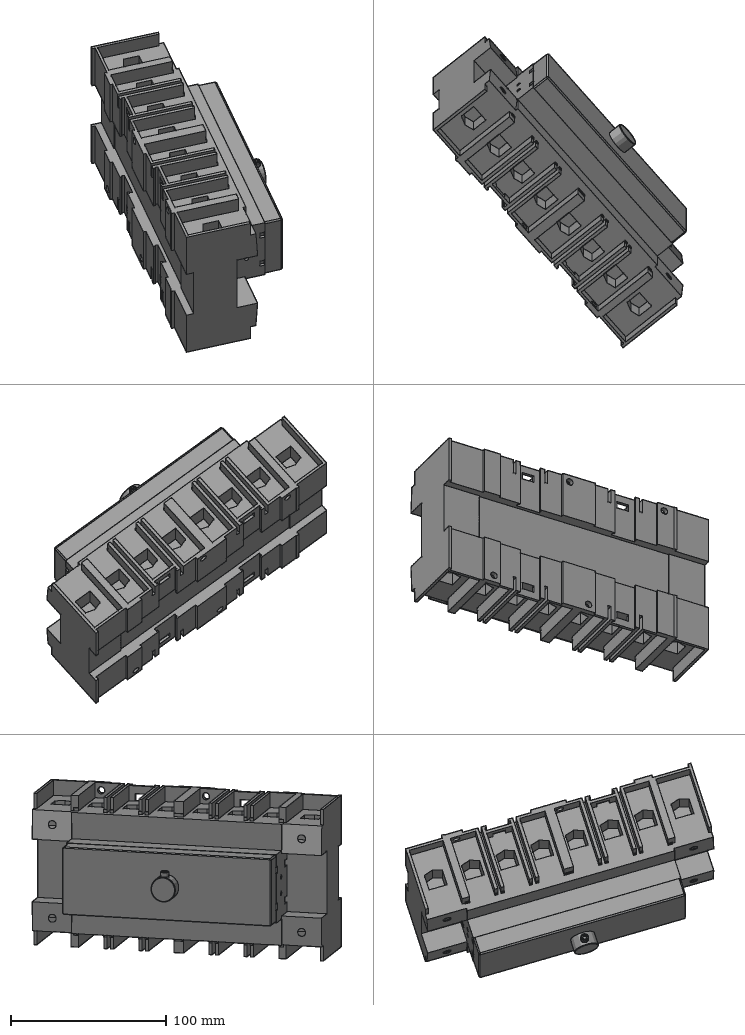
import cadquery as cq
X_END = 96.5
HALF_HEIGHT = 50.0
CENTER_X = -0.1
POLE_PITCH = 23.4
POLE_COUNT = 6
HOUSING_LENGTH = 140.0
HOUSING_LEFT = CENTER_X - HOUSING_LENGTH / 2
HOUSING_RIGHT = CENTER_X + HOUSING_LENGTH / 2

BACK_Y = 2.1
WALL_END_Y = 45.5
RAIL_DEPTH_Y = 7.0
HOUSING_RAIL_DEPTH_Y = 7.7
RAIL_HALF_HEIGHT = 17.8
DECK_Z = 40.0
POCKET_BACK_Y = 3.9

ENTRY_WIDTH = 12.2
ENTRY_SIDE = 10.5
ENTRY_TIP = 2.0
ENTRY_DEPTH = 15.5
POLE_ENTRY_Y = 18.3
MODULE_ENTRY_Y = 17.8

HOUSING_FRONT_Y = 51.0
TOWER_HALF_HEIGHT = 22.5
TOWER_TOP_Y = 63.9
POLE_POCKET_WIDTH = 17.0
PAD_Y = 0.4
PAD_HALF_WIDTH = 12.0
WALL_FOOT_DEPTH = 0.5
WALL_FOOT_HEIGHT = 2.1
SLOT_WIDTH = 2.1
LATCH_POLES = (1, 4)
LATCH_BACK_Y = 5.5
LATCH_POCKET_Y = 7.3
LATCH_LIP_Y = 3.5
LATCH_LIP_GAP = 15.0
WINDOW_WIDTH = 8.5
WINDOW_HEIGHT = 4.8
MOUNT_HOLE_DIAMETER = 4.6
MOUNT_HOLE_Z = 45.0
MOUNT_HOLE_OFFSETS = (-7.0, 63.0)
END_RECESS_DEPTH = 2.0
END_RECESS_HEIGHT = 4.2
END_RECESS_Z = 12.2
UPPER_RECESS_BOTTOM_Y = 60.6
LOWER_RECESS_TOP_Y = 42.7
PIN_HOLE_DIAMETER = 2.7
PIN_HOLE_Y = 51.5
PIN_HOLE_Z = 5.5

MODULE_WALL = 2.0
MODULE_POCKET_WIDTH = 22.8
MODULE_FRONT_EDGE_Y = 49.2
MODULE_FRONT_INNER_Y = 50.4
NOTCH_HALF_HEIGHT = 20.7
NOTCH_FLOOR_Y = 36.5
TERMINAL_SCREW_DIAMETER = 5.2
TERMINAL_SCREW_Z = 30.9
TERMINAL_SCREW_TOP_Y = 49.8
TERMINAL_SCREW_LENGTH = 5.8

CAP_TOP_Y = 76.0
CAP_CLEARANCE = 0.2
CAP_CORNER = 1.0
CAP_BEVEL_Y = 74.9
CAP_TAPER = 0.6
CAP_BEVEL_TAPER = 25.0
COUPLING_DIAMETER = 16.2
COUPLING_TOP_Y = 85.0
COUPLING_CHAMFER = 0.4
SET_SCREW_DIAMETER = 5.2
SET_SCREW_Y = 80.7
SET_SCREW_BOTTOM_Z = 3.9
SET_SCREW_TOP_Z = 11.4
SET_SCREW_CHAMFER = 0.5
SOCKET_DIAMETER = 2.7
SOCKET_DEPTH = 2.0


def block(x0, x1, y0, y1, z0, z1):
    """Box between two limits along each axis."""
    return cq.Workplane("XY").box(x1 - x0, y1 - y0, z1 - z0, centered=False).translate((x0, y0, z0))


def both_sides(upper):
    """The given shape together with its reflection below Z = 0."""
    return upper.union(upper.mirror("XY"))


def rail_channel():
    """Mounting-rail channel, slightly deeper between the end modules."""
    channel = block(-X_END, X_END, 0, RAIL_DEPTH_Y, -RAIL_HALF_HEIGHT, RAIL_HALF_HEIGHT)
    return channel.union(
        block(HOUSING_LEFT, HOUSING_RIGHT, 0, HOUSING_RAIL_DEPTH_Y, -RAIL_HALF_HEIGHT, RAIL_HALF_HEIGHT)
    )


def terminal_entry(x, tip_y):
    """Pentagonal cutter reaching down from the deck."""
    half = ENTRY_WIDTH / 2
    shoulder_y = tip_y + ENTRY_TIP
    outline = [
        (x, tip_y),
        (x + half, shoulder_y),
        (x + half, shoulder_y + ENTRY_SIDE),
        (x - half, shoulder_y + ENTRY_SIDE),
        (x - half, shoulder_y),
    ]
    return cq.Workplane("XY", origin=(0, 0, DECK_Z - ENTRY_DEPTH)).polyline(outline).close().extrude(ENTRY_DEPTH)


def module_middle(left):
    """X of the terminal of the end module that starts at `left`."""
    return left + MODULE_WALL + MODULE_POCKET_WIDTH / 2


MODULE_LIMITS = ((-X_END, HOUSING_LEFT), (HOUSING_RIGHT, X_END))
MODULE_MIDDLES = [module_middle(left) for left, right in MODULE_LIMITS]


def pole_x(pole):
    return CENTER_X + (pole - (POLE_COUNT - 1) / 2) * POLE_PITCH


def wall_block():
    """Upper terminal walls before the pockets are cut, with the foot along their front end."""
    walls = block(HOUSING_LEFT, HOUSING_RIGHT, BACK_Y, WALL_END_Y, DECK_Z, HALF_HEIGHT)
    foot = block(
        HOUSING_LEFT, HOUSING_RIGHT,
        WALL_END_Y, WALL_END_Y + WALL_FOOT_DEPTH,
        DECK_Z, DECK_Z + WALL_FOOT_HEIGHT,
    )
    return walls.union(foot)


def rear_pads():
    """Full-height pads at both ends and in the middle of the rear face."""
    pads = block(CENTER_X - PAD_HALF_WIDTH, CENTER_X + PAD_HALF_WIDTH, PAD_Y, BACK_Y, -HALF_HEIGHT, HALF_HEIGHT)
    for x in (HOUSING_LEFT, HOUSING_RIGHT - PAD_HALF_WIDTH):
        pads = pads.union(block(x, x + PAD_HALF_WIDTH, PAD_Y, BACK_Y, -HALF_HEIGHT, HALF_HEIGHT))
    return pads


def pole_cutter(pole):
    """Terminal pocket and entry of one pole, on the upper side."""
    x = pole_x(pole)
    half = POLE_POCKET_WIDTH / 2
    back_y = LATCH_POCKET_Y if pole in LATCH_POLES else POCKET_BACK_Y
    pocket = block(x - half, x + half, back_y, HOUSING_FRONT_Y, DECK_Z, HALF_HEIGHT)
    return pocket.union(terminal_entry(x, POLE_ENTRY_Y))


def latch_cutter(pole):
    """Undercut rear groove, and on the upper side a window and two slots beside the pole."""
    x = pole_x(pole)
    half = POLE_POCKET_WIDTH / 2
    gap = LATCH_LIP_GAP / 2
    cutter = block(x - half, x + half, LATCH_LIP_Y, LATCH_BACK_Y, 0, HALF_HEIGHT)
    cutter = cutter.union(block(x - gap, x + gap, 0, LATCH_LIP_Y, 0, HALF_HEIGHT))
    cutter = cutter.union(
        block(
            x - WINDOW_WIDTH / 2, x + WINDOW_WIDTH / 2,
            LATCH_BACK_Y, LATCH_POCKET_Y,
            DECK_Z, DECK_Z + WINDOW_HEIGHT,
        )
    )
    for slot_x in (x - POLE_PITCH / 2, x + POLE_PITCH / 2):
        cutter = cutter.union(
            block(
                slot_x - SLOT_WIDTH / 2, slot_x + SLOT_WIDTH / 2,
                0, HOUSING_FRONT_Y,
                DECK_Z, HALF_HEIGHT,
            )
        )
    return cutter


def mounting_holes():
    """Holes through the rear wall, placed point-symmetrically about the housing middle."""
    holes = cq.Workplane("XZ")
    for side in (1, -1):
        points = [(CENTER_X + side * offset, side * MOUNT_HOLE_Z) for offset in MOUNT_HOLE_OFFSETS]
        holes = holes.pushPoints(points)
        holes = holes.circle(MOUNT_HOLE_DIAMETER / 2)
    return holes.extrude(-LATCH_POCKET_Y)


def end_recesses():
    """Latch recesses and pin holes in the two end faces, on the upper side."""
    recesses = cq.Workplane("XY")
    for x in (HOUSING_LEFT, HOUSING_RIGHT - END_RECESS_DEPTH):
        for y0, y1 in ((UPPER_RECESS_BOTTOM_Y, TOWER_TOP_Y), (NOTCH_FLOOR_Y, LOWER_RECESS_TOP_Y)):
            z0 = END_RECESS_Z - END_RECESS_HEIGHT / 2
            z1 = END_RECESS_Z + END_RECESS_HEIGHT / 2
            recesses = recesses.union(block(x, x + END_RECESS_DEPTH, y0, y1, z0, z1))
        pin_hole = (
            cq.Workplane("YZ", origin=(x, PIN_HOLE_Y, PIN_HOLE_Z))
            .circle(PIN_HOLE_DIAMETER / 2)
            .extrude(END_RECESS_DEPTH)
        )
        recesses = recesses.union(pin_hole)
    return recesses


def make_housing():
    housing = block(HOUSING_LEFT, HOUSING_RIGHT, BACK_Y, HOUSING_FRONT_Y, -DECK_Z, DECK_Z)
    tower = block(
        HOUSING_LEFT, HOUSING_RIGHT,
        HOUSING_FRONT_Y, TOWER_TOP_Y,
        -TOWER_HALF_HEIGHT, TOWER_HALF_HEIGHT,
    )
    housing = housing.union(tower).union(both_sides(wall_block())).union(rear_pads())
    for pole in range(POLE_COUNT):
        housing = housing.cut(both_sides(pole_cutter(pole)))
    for pole in LATCH_POLES:
        housing = housing.cut(both_sides(latch_cutter(pole)))
    housing = housing.cut(mounting_holes()).cut(both_sides(end_recesses()))
    for left, right in MODULE_LIMITS:
        housing = housing.union(end_module(left, right))
    housing = housing.cut(rail_channel())
    for x in MODULE_MIDDLES:
        for side in (1, -1):
            housing = housing.cut(make_terminal_screw(x, side))
    return housing


def end_module(left, right):
    """Single-terminal end of the housing between two X limits, with a rear foot along its left wall."""
    upper_outline = [
        (BACK_Y, 0),
        (BACK_Y, HALF_HEIGHT),
        (WALL_END_Y, HALF_HEIGHT),
        (WALL_END_Y, DECK_Z),
        (MODULE_FRONT_EDGE_Y, DECK_Z),
        (MODULE_FRONT_INNER_Y, NOTCH_HALF_HEIGHT),
        (NOTCH_FLOOR_Y, NOTCH_HALF_HEIGHT),
        (NOTCH_FLOOR_Y, 0),
    ]
    upper = cq.Workplane("YZ", origin=(left, 0, 0)).polyline(upper_outline).close().extrude(right - left)
    foot = block(left, left + MODULE_WALL, 0, BACK_Y, 0, HALF_HEIGHT)
    middle = module_middle(left)
    half = MODULE_POCKET_WIDTH / 2
    pocket = block(middle - half, middle + half, POCKET_BACK_Y, WALL_END_Y, DECK_Z, HALF_HEIGHT)
    upper = upper.union(foot).cut(pocket).cut(terminal_entry(middle, MODULE_ENTRY_Y))
    return both_sides(upper)


def make_terminal_screw(x, side):
    """Screw set into the sloping front of an end module, above (side 1) or below (side -1) Z = 0."""
    return (
        cq.Workplane("XZ", origin=(x, TERMINAL_SCREW_TOP_Y, side * TERMINAL_SCREW_Z))
        .circle(TERMINAL_SCREW_DIAMETER / 2)
        .extrude(TERMINAL_SCREW_LENGTH)
    )


def make_cap():
    """Cover on the tower, tapering towards its bevelled front."""
    length = HOUSING_LENGTH - 2 * CAP_CLEARANCE
    height = 2 * (TOWER_HALF_HEIGHT - CAP_CLEARANCE)
    outline = cq.Sketch().rect(length, height).vertices().chamfer(CAP_CORNER)
    return (
        cq.Workplane("XZ", origin=(CENTER_X, TOWER_TOP_Y, 0))
        .placeSketch(outline)
        .extrude(TOWER_TOP_Y - CAP_BEVEL_Y, taper=CAP_TAPER)
        .faces(">Y")
        .wires()
        .toPending()
        .workplane()
        .extrude(CAP_TOP_Y - CAP_BEVEL_Y, taper=CAP_BEVEL_TAPER)
    )


def set_screw_blank():
    return (
        cq.Workplane("XY", origin=(CENTER_X, SET_SCREW_Y, SET_SCREW_BOTTOM_Z))
        .circle(SET_SCREW_DIAMETER / 2)
        .extrude(SET_SCREW_TOP_Z - SET_SCREW_BOTTOM_Z)
    )


def make_set_screw():
    return (
        set_screw_blank()
        .faces(">Z")
        .chamfer(SET_SCREW_CHAMFER)
        .faces(">Z")
        .workplane()
        .polygon(6, SOCKET_DIAMETER)
        .cutBlind(-SOCKET_DEPTH)
    )


def make_coupling():
    return (
        cq.Workplane("XZ", origin=(CENTER_X, CAP_TOP_Y, 0))
        .circle(COUPLING_DIAMETER / 2)
        .extrude(CAP_TOP_Y - COUPLING_TOP_Y)
        .faces(">Y")
        .chamfer(COUPLING_CHAMFER)
        .cut(set_screw_blank())
    )


housing = make_housing()
cap = make_cap()
terminal_screws = [make_terminal_screw(x, side) for x in MODULE_MIDDLES for side in (1, -1)]
coupling = make_coupling()
set_screw = make_set_screw()

result = cq.Compound.makeCompound([
    housing.val(),
    cap.val(),
    *[screw.val() for screw in terminal_screws],
    coupling.val(),
    set_screw.val(),
])